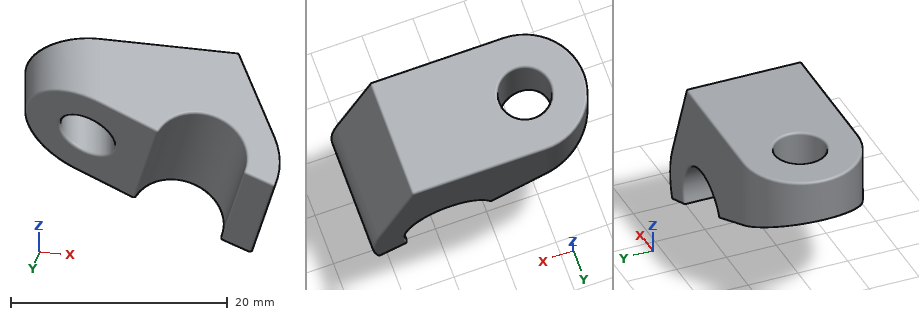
import cadquery as cq
import math

length = 22.75
width = 11.6
bore_radius = 4.37
jaw_radius = 7.5
bore_depth = 11.5
lean_angle = 21.0
wrap_angle = 21.8
underside_angle = 25.0
hole_diameter = 5.0
edge_round = 0.25

nose_radius = width / 2
bore_x = length - jaw_radius
bore_z = -bore_depth


def around_bore(radius, angle):
    """Point in the XZ plane at a polar position about the bore axis."""
    a = math.radians(angle)
    return (bore_x + radius * math.cos(a), bore_z + radius * math.sin(a))


lean_end = around_bore(jaw_radius, lean_angle)
back_top_x = lean_end[0] + lean_end[1] * math.tan(math.radians(lean_angle))
nose_bottom_z = bore_z + bore_x * math.tan(math.radians(underside_angle))
bore_start = -wrap_angle
bore_end = 180 - underside_angle

body = (
    cq.Workplane("XZ")
    .lineTo(back_top_x, 0)
    .lineTo(*lean_end)
    .threePointArc(around_bore(jaw_radius, 0), around_bore(jaw_radius, -wrap_angle))
    .lineTo(*around_bore(bore_radius, bore_start))
    .threePointArc(
        around_bore(bore_radius, (bore_start + bore_end) / 2),
        around_bore(bore_radius, bore_end),
    )
    .lineTo(0, nose_bottom_z)
    .close()
    .extrude(width / 2, both=True)
)

nose_plan = (
    cq.Workplane("XY")
    .moveTo(length, -nose_radius)
    .lineTo(length, nose_radius)
    .lineTo(nose_radius, nose_radius)
    .threePointArc((0, 0), (nose_radius, -nose_radius))
    .close()
    .extrude(-length)
)
body = body.intersect(nose_plan)

screw_hole = (
    cq.Workplane("XY")
    .center(nose_radius, 0)
    .circle(hole_diameter / 2)
    .extrude(-length)
)
body = body.cut(screw_hole)

smooth_joins = body.edges("|Z").add(
    body.edges(cq.selectors.NearestToPointSelector((lean_end[0], 0, lean_end[1])))
)
sharp_edges = [
    edge for edge in body.edges().vals()
    if not any(edge.isSame(join) for join in smooth_joins.vals())
]
result = body.newObject(sharp_edges).fillet(edge_round)